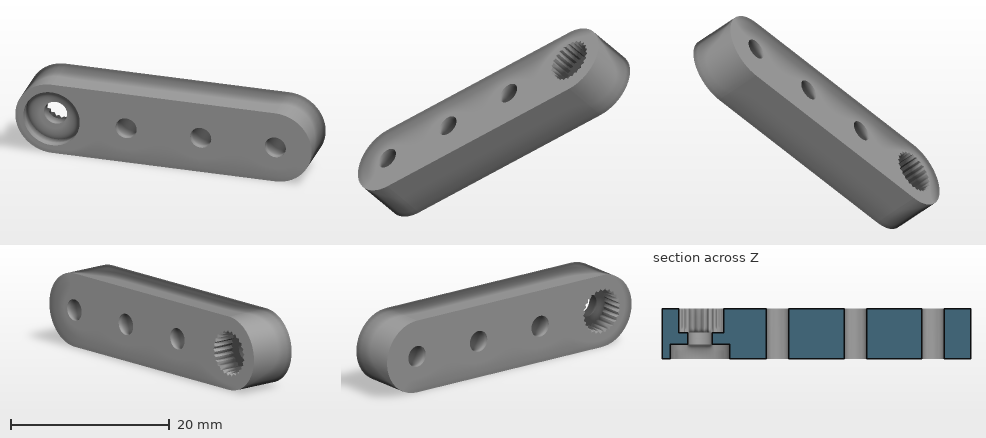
import cadquery as cq
import math

length = 38.85
thickness = 6.35
height = 9.52

hole_count = 4
hole_diameter = 2.75
pivot_hole_diameter = 3.05
hole_span = length - height
hole_pitch = hole_span / (hole_count - 1)
first_hole_x = -hole_span / 2

recess_diameter = 7.4
recess_depth = 1.83

web_thickness = 1.5
tooth_count = 25
spline_root_diameter = 5.9
spline_tip_diameter = 5.32

front_y = -thickness / 2


def cylinder_from_front(x, diameter, depth):
    """Cylinder starting on the front face and running toward +Y."""
    return cq.Workplane("XZ", origin=(x, front_y, 0)).circle(diameter / 2).extrude(-depth)


def spline_socket():
    """Toothed cavity running from the web to the back face."""
    outline = []
    for step in range(2 * tooth_count):
        diameter = spline_root_diameter if step % 2 == 0 else spline_tip_diameter
        angle = math.pi * step / tooth_count
        outline.append((diameter / 2 * math.cos(angle), diameter / 2 * math.sin(angle)))
    socket_floor_y = front_y + recess_depth + web_thickness
    socket_depth = thickness - recess_depth - web_thickness
    workplane = cq.Workplane("XZ", origin=(first_hole_x, socket_floor_y, 0))
    return workplane.polyline(outline).close().extrude(-socket_depth)


result = cq.Workplane("XZ", origin=(0, front_y, 0)).slot2D(length, height).extrude(-thickness)

result = result.cut(cylinder_from_front(first_hole_x, pivot_hole_diameter, thickness))
result = result.cut(cylinder_from_front(first_hole_x, recess_diameter, recess_depth))
result = result.cut(spline_socket())

for index in range(1, hole_count):
    hole_x = first_hole_x + index * hole_pitch
    result = result.cut(cylinder_from_front(hole_x, hole_diameter, thickness))